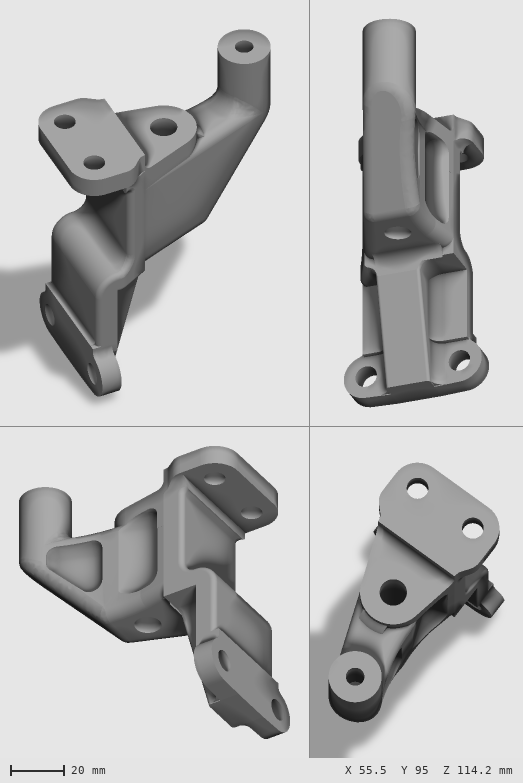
import cadquery as cq
import math


post_radius = 10.0
post_top = 104.8
post_hole_diameter = 7.0
post_hole_depth = 20.0
drill_point_angle = 118.0

plate_thickness = 8.0
plate_top = 95.6
plate_bottom = plate_top - plate_thickness
plate_lobe_radius = 10.0
plate_hole_diameter = 8.2
plate_hole_pitch = 26.0
plate_left_hole_x = 0.7
plate_hole_y = -75.0
plate_left = plate_left_hole_x - plate_lobe_radius
plate_right = plate_left + plate_hole_pitch + 2 * plate_lobe_radius
plate_front = plate_hole_y - plate_lobe_radius
plate_neck_y = -58.0
plate_neck_left = -5.4
plate_neck_right = 31.3
plate_shoulder_y = -63.5
plate_shoulder_radius = 7.0
plate_neck_radius = 3.0
plate_step_radius = 3.2
plate_flank_radius = 3.5

column_back = -55.8
column_left = -5.0
column_back_right = 30.9
column_right = 37.0
column_bottom = 8.3
column_right_corner_y = -67.5
column_right_corner_radius = 6.0
upper_front = -64.2
lower_front = -78.5
lower_back = -70.2
shelf_top = 45.3
shelf_outer_radius = 9.0
shelf_inner_radius = upper_front - lower_front - shelf_outer_radius
collar_front = -66.1
collar_bottom = 83.5
collar_radius = upper_front - collar_front
column_edge_radius = 2.0

foot_thickness = 8.0
foot_front = -80.4
foot_back = foot_front + foot_thickness
foot_lobe_radius = 9.0
foot_hole_diameter = 8.6
foot_hole_pitch = 37.5
foot_left_hole_x = -1.1
foot_center_x = foot_left_hole_x + foot_hole_pitch / 2
foot_top = 12.7
foot_bottom = -9.4
foot_neck_radius = 3.0
foot_ledge_radius = 1.8

rib_width = 17.6
rib_top = 36.8
rib_slope_start = 32.5
rib_toe_y = -66.8
rib_fillet = 4.5
rib_edge_radius = 1.2

arm_bottom = 39.9
arm_top = 81.9
arm_knee_y = -25.2
arm_heel_z = 76.4
arm_knee_radius = 5.0
arm_edge_radius = 4.5
arm_top_edge_radius = 4.0
arm_root_radius = 4.0
arm_waist = (-2.3, -43.7)
arm_side_middle = (-2.9, -22.0)
arm_side_end_angle = 204.0
saddle_radius = 6.0

ear_center = (11.0, -38.7)
ear_radius = 12.5
ear_root = 70.0
ear_toe_height = 2.9
ear_toe_width = 11.0
ear_hole_diameter = 10.3

rear_pocket_floor = (-1.7, -33.6)
rear_pocket_profile = [(-28.0, 81.2), (-49.5, 81.2), (-49.5, 46.0), (-28.0, 46.0)]
front_pocket_floor = (2.5, -24.0)
front_pocket_profile = [(-4.2, 76.8), (-24.9, 76.8), (-24.9, 47.4), (-4.2, 67.6)]
pocket_reach = 20.0
pocket_corner_radius = 4.5
pocket_floor_radius = 4.2

tolerance = 0.01
margin = 1.0


def point_on_circle(center, radius, angle):
    """Point of a circle at an angle in radians."""
    return (center[0] + radius * math.cos(angle), center[1] + radius * math.sin(angle))


def tangent_point(center, radius, outside, side):
    """Where the tangent from an outside point touches a circle; side is +1 or -1."""
    dx = outside[0] - center[0]
    dy = outside[1] - center[1]
    spread = math.acos(radius / math.hypot(dx, dy))
    return point_on_circle(center, radius, math.atan2(dy, dx) + side * spread)


left_root = (column_left, column_back)
right_root = (column_back_right, column_back)
arm_right_touch = tangent_point((0, 0), post_radius, right_root, 1)
right_side_angle = math.atan2(right_root[1] - arm_right_touch[1], right_root[0] - arm_right_touch[0])
along_arm = (math.cos(right_side_angle), math.sin(right_side_angle))


def extrude_across(profile, x_min, x_max):
    """Extrude a closed (Y, Z) profile along X."""
    return profile.extrude(x_max - x_min).translate((x_min, 0, 0))


def make_column():
    """Stepped column under the top plate, with its front edges rounded."""
    shelf_y = upper_front - shelf_inner_radius
    inner_center = (shelf_y, shelf_top + shelf_inner_radius)
    outer_center = (shelf_y, shelf_top - shelf_outer_radius)
    collar_center = (collar_front, collar_bottom - collar_radius)
    profile = (
        cq.Workplane("YZ")
        .moveTo(column_back, plate_bottom)
        .lineTo(collar_front, plate_bottom)
        .lineTo(collar_front, collar_bottom)
        .threePointArc(
            point_on_circle(collar_center, collar_radius, math.radians(45)),
            (upper_front, collar_center[1]),
        )
        .lineTo(upper_front, inner_center[1])
        .threePointArc(
            point_on_circle(inner_center, shelf_inner_radius, math.radians(-45)),
            (shelf_y, shelf_top),
        )
        .threePointArc(
            point_on_circle(outer_center, shelf_outer_radius, math.radians(135)),
            (lower_front, outer_center[1]),
        )
        .lineTo(lower_front, column_bottom)
        .lineTo(lower_back, column_bottom)
        .lineTo(lower_back, rib_top)
        .lineTo(column_back, rib_top)
        .close()
    )
    outline = (
        cq.Workplane("XY")
        .polyline([
            left_root,
            right_root,
            (column_right, column_right_corner_y),
            (column_right, foot_front),
            (column_left, foot_front),
        ])
        .close()
        .extrude(plate_top)
    )
    side_corner = cq.selectors.NearestToPointSelector((column_right, column_right_corner_y, plate_top / 2))
    outline = outline.edges("|Z").edges(side_corner).fillet(column_right_corner_radius)
    column = extrude_across(profile, column_left, column_right).intersect(outline)
    front_edges = cq.selectors.BoxSelector(
        (column_left - margin, lower_front - margin, column_bottom),
        (column_right + margin, upper_front + tolerance, collar_bottom),
    )
    return column.edges(front_edges).edges("not #X").edges("not |X").fillet(column_edge_radius)


def make_foot():
    """Foot plate with a rounded lobe around each bolt hole."""
    right_hole_x = foot_left_hole_x + foot_hole_pitch
    lobe_angle = math.radians(-90)
    left_low = point_on_circle((foot_left_hole_x, 0), foot_lobe_radius, lobe_angle)
    right_low = point_on_circle((right_hole_x, 0), foot_lobe_radius, lobe_angle)
    plane = cq.Workplane("XZ", origin=(0, foot_back, 0))
    web = plane.polyline([
        (column_left, foot_top),
        (column_left, 0),
        left_low,
        (foot_center_x - rib_width / 2, foot_bottom),
        (foot_center_x + rib_width / 2, foot_bottom),
        right_low,
        (column_right, 0),
        (column_right, foot_top),
    ]).close().extrude(foot_thickness)
    hole_points = [(foot_left_hole_x, 0), (right_hole_x, 0)]
    lobes = plane.pushPoints(hole_points).circle(foot_lobe_radius).extrude(foot_thickness)
    foot = web.union(lobes)
    necks = cq.selectors.BoxSelector(
        (column_left - margin, foot_front - margin, foot_lobe_radius / 2),
        (column_right + margin, foot_back + margin, foot_top - margin),
    )
    return foot.edges(necks).edges("|Y").fillet(foot_neck_radius)


def make_rib():
    """Rib that tapers from the shelf of the column down to the foot."""
    profile = (
        cq.Workplane("YZ")
        .polyline([
            (column_back, rib_top),
            (column_back, rib_slope_start),
            (rib_toe_y, foot_bottom),
            (foot_front + foot_thickness / 2, foot_bottom),
            (foot_front + foot_thickness / 2, rib_top),
        ])
        .close()
    )
    left = foot_center_x - rib_width / 2
    rib = extrude_across(profile, left, left + rib_width)
    slanted_back = cq.selectors.NearestToPointSelector(
        (foot_center_x, (column_back + rib_toe_y) / 2, (rib_slope_start + foot_bottom) / 2)
    )
    return rib.faces(slanted_back).edges("not |X").fillet(rib_edge_radius)


def make_top_plate():
    """Top plate with rounded corners, narrowing toward the ear."""
    plane = cq.Workplane("XY", origin=(0, 0, plate_bottom))
    plate = (
        plane.polyline([
            left_root,
            (plate_neck_left, plate_neck_y),
            (plate_left, plate_shoulder_y),
            (plate_left, plate_front),
            (plate_right, plate_front),
            (plate_right, plate_shoulder_y),
            (plate_neck_right, plate_neck_y),
            right_root,
        ])
        .close()
        .extrude(plate_thickness)
    )
    plate = plate.edges("|Z").edges("<Y").fillet(plate_lobe_radius)
    for corner_y, radius in ((plate_shoulder_y, plate_shoulder_radius), (plate_neck_y, plate_neck_radius)):
        corners = cq.selectors.BoxSelector(
            (plate_left - margin, corner_y - tolerance, 0),
            (plate_right + margin, corner_y + tolerance, post_top),
        )
        plate = plate.edges(corners).edges("|Z").fillet(radius)
    return plate


def make_arm():
    """Arm and post, blended together and rounded along their slanted underside."""
    side_end = point_on_circle((0, 0), post_radius, math.radians(arm_side_end_angle))
    base = cq.Workplane("XY", origin=(0, 0, arm_bottom))
    web = (
        base.moveTo(*left_root)
        .lineTo(*arm_waist)
        .threePointArc(arm_side_middle, side_end)
        .lineTo(*arm_right_touch)
        .lineTo(*right_root)
        .close()
        .extrude(arm_top - arm_bottom)
    )
    web = web.faces(">Z").edges("not(<Y or >Y)").fillet(arm_top_edge_radius)
    arm = web.union(base.circle(post_radius).extrude(post_top - arm_bottom))
    wedge = (
        cq.Workplane("YZ")
        .polyline([
            (post_radius, arm_heel_z),
            (arm_knee_y, arm_bottom),
            (post_radius, arm_bottom),
        ])
        .close()
    )
    arm = arm.cut(extrude_across(wedge, -2 * post_radius, column_right))

    saddle = cq.selectors.BoxSelector(
        (-post_radius, -post_radius - margin, arm_top - tolerance),
        (post_radius, -post_radius / 2, arm_top + tolerance),
    )
    arm = arm.edges(saddle).edges("%CIRCLE").fillet(saddle_radius)
    arm = arm.edges("|X").edges("<Z").edges(">Y").fillet(arm_knee_radius)
    return arm.edges().filter(is_on_underside).fillet(arm_edge_radius)


def is_on_underside(edge):
    """True for the long edges around the level and slanted bottom of the arm and post."""
    center = edge.Center()
    if abs(center.y - column_back) < tolerance:
        return False
    slope = (arm_heel_z - arm_bottom) / (post_radius - arm_knee_y)
    slant_z = arm_heel_z + slope * (center.y - post_radius)
    on_slant = abs(center.z - slant_z) < tolerance
    on_level = abs(center.z - arm_bottom) < tolerance
    return on_slant or on_level


def make_pocket(floor_point, profile, corner_radius, floor_radius):
    """Pocket tool whose flat floor runs parallel to the right side of the arm.

    The profile holds (Y, Z) points on the floor, and floor_point is an (X, Y) on it.
    """
    outward = (along_arm[1], -along_arm[0], 0)
    plane = cq.Plane(
        origin=(floor_point[0], floor_point[1], 0), xDir=(along_arm[0], along_arm[1], 0), normal=outward
    )
    points = [((y - floor_point[1]) / along_arm[1], z) for y, z in profile]
    tool = cq.Workplane(plane).polyline(points).close().extrude(pocket_reach)
    normal_edges = cq.selectors.ParallelDirSelector(cq.Vector(*outward))
    tool = tool.edges(normal_edges).fillet(corner_radius)
    floor = cq.selectors.DirectionMinMaxSelector(cq.Vector(*outward), False)
    return tool.faces(floor).edges().fillet(floor_radius)


def make_ear(z_from, z_to):
    """Ear outline between two levels."""
    left_touch = tangent_point(ear_center, ear_radius, left_root, -1)
    right_touch = tangent_point(ear_center, ear_radius, right_root, 1)
    tip = (ear_center[0], ear_center[1] + ear_radius)
    return (
        cq.Workplane("XY", origin=(0, 0, z_from))
        .moveTo(*left_root)
        .lineTo(*left_touch)
        .threePointArc(tip, right_touch)
        .lineTo(*right_root)
        .close()
        .extrude(z_to - z_from)
    )


def make_hole(center, diameter, z_from, z_to):
    """Vertical hole tool between two levels."""
    plane = cq.Workplane("XY", origin=(center[0], center[1], z_from))
    return plane.circle(diameter / 2).extrude(z_to - z_from)


def make_post_hole():
    """Blind hole tool with a drill point."""
    radius = post_hole_diameter / 2
    tip = radius / math.tan(math.radians(drill_point_angle / 2))
    floor_z = post_top - post_hole_depth
    half_section = (
        cq.Workplane("XZ")
        .polyline([(0, post_top), (radius, post_top), (radius, floor_z), (0, floor_z - tip)])
        .close()
    )
    return half_section.revolve(360, (0, 0, 0), (0, 1, 0))


def make_corner_fill(corner, y_side, z_side, radius, x_min, x_max):
    """Concave fillet along X in an inner (Y, Z) corner; the open sides are +1 or -1."""
    center = (corner[0] + y_side * radius, corner[1] + z_side * radius)
    toward_corner = math.atan2(-z_side, -y_side)
    profile = (
        cq.Workplane("YZ")
        .moveTo(*corner)
        .lineTo(corner[0], center[1])
        .threePointArc(point_on_circle(center, radius, toward_corner), (center[0], corner[1]))
        .close()
    )
    return extrude_across(profile, x_min, x_max)


def make_foot_gusset(side):
    """Concave fillet between one side of the rib and the back of the foot; side is +1 or -1."""
    rib_side = foot_center_x + side * rib_width / 2
    center = (rib_side + side * rib_fillet, foot_back + rib_fillet)
    toward_corner = math.radians(-90 - side * 45)
    return (
        cq.Workplane("XY", origin=(0, 0, -foot_lobe_radius))
        .moveTo(rib_side, foot_back)
        .lineTo(rib_side, center[1])
        .threePointArc(point_on_circle(center, rib_fillet, toward_corner), (center[0], foot_back))
        .close()
        .extrude(foot_lobe_radius + column_bottom)
    )


def make_ear_toe():
    """Sloped toe that leads from the top of the arm up to the tip of the ear."""
    cone = (
        cq.Workplane("XY", origin=(ear_center[0], ear_center[1], arm_top))
        .circle(ear_radius + ear_toe_height)
        .extrude(ear_toe_height, taper=45)
    )
    strip = (
        cq.Workplane("XY", origin=(ear_center[0], ear_center[1] + ear_radius, arm_top))
        .rect(ear_toe_width, 2 * ear_radius)
        .extrude(ear_toe_height)
    )
    return cone.intersect(strip)


def is_rib_root(edge):
    """True for the edges where a side of the rib meets the column."""
    center = edge.Center()
    on_side = abs(abs(center.x - foot_center_x) - rib_width / 2) < tolerance
    on_wall = abs(center.y - lower_back) < tolerance
    on_roof = abs(center.z - rib_top) < tolerance
    return on_side and edge.BoundingBox().xlen < tolerance and (on_wall or on_roof)


def make_lower_body():
    """Column, rib and foot with their blends."""
    body = make_column().union(make_rib()).edges().filter(is_rib_root).fillet(rib_fillet)
    body = body.union(make_foot())
    ledge = make_corner_fill(
        (lower_front, foot_top), -1, 1, foot_ledge_radius,
        column_left + column_edge_radius, column_right - column_edge_radius,
    )
    body = body.union(ledge)
    for side in (-1, 1):
        body = body.union(make_foot_gusset(side))
    return body


def make_upper_body():
    """Arm, post and ear with the pockets in the left side of the arm."""
    body = make_arm().union(make_ear(ear_root, plate_bottom)).union(make_ear_toe())
    for floor_point, profile in (
        (rear_pocket_floor, rear_pocket_profile),
        (front_pocket_floor, front_pocket_profile),
    ):
        body = body.cut(make_pocket(floor_point, profile, pocket_corner_radius, pocket_floor_radius))
    return body


def make_plate_flank():
    """Concave fillet between the left side of the column and the underside of the top plate."""
    fill = make_corner_fill(
        (-column_left, plate_bottom), 1, -1, plate_flank_radius, collar_front, column_back
    )
    fill = fill.rotate((0, 0, 0), (0, 0, 1), 90)
    return fill.intersect(make_top_plate().translate((0, 0, -plate_thickness)))


arm_root = make_corner_fill(
    (column_back, arm_bottom), 1, -1, arm_root_radius,
    column_left + arm_edge_radius, column_back_right - arm_edge_radius,
)
result = make_upper_body().union(make_lower_body()).union(arm_root)
result = result.union(make_top_plate()).union(make_plate_flank())
plate_step = make_corner_fill(
    (column_back, plate_bottom), 1, 1, plate_step_radius, column_left, column_back_right
)
result = result.union(plate_step.intersect(make_ear(plate_bottom, plate_top)))

result = result.cut(make_post_hole()).cut(make_hole(ear_center, ear_hole_diameter, 0, post_top))
for x in (plate_left_hole_x, plate_left_hole_x + plate_hole_pitch):
    result = result.cut(make_hole((x, plate_hole_y), plate_hole_diameter, plate_bottom, plate_top))
for x in (foot_left_hole_x, foot_left_hole_x + foot_hole_pitch):
    foot_hole = cq.Workplane("XZ", origin=(x, foot_back, 0)).circle(foot_hole_diameter / 2)
    result = result.cut(foot_hole.extrude(foot_thickness))